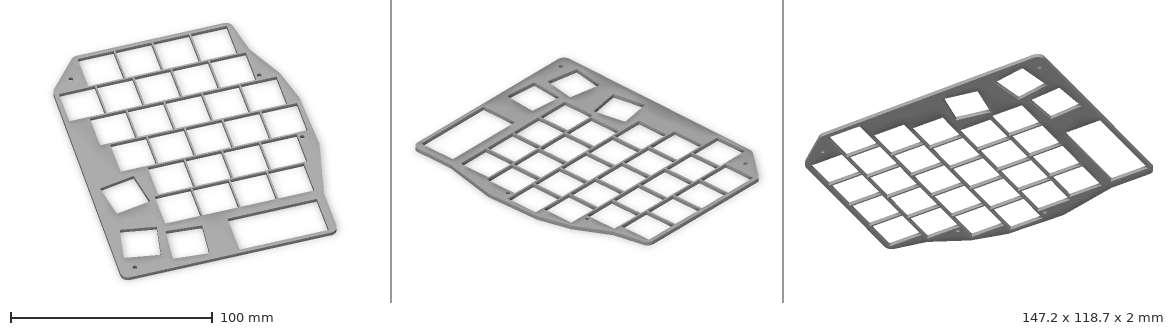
import cadquery as cq

plate_length = 147.2
plate_width = 118.8
plate_thickness = 2.0
corner_radius = 4.0

key_size = 18.5
web_width = 0.95
key_pitch = key_size + web_width
first_column_x = 11.5
key_columns = [(4, 28.8), (5, 13.4), (5, 23.5), (5, 28.4), (4, 42.0), (4, 39.9)]

thumb_keys = [(94.5, 16.9, 10), (126.6, 15.3, -10), (133.0, 37.8, -5)]

window_length = 21.2
window_width = 46.0
window_center = (134.5, 84.2)

hole_diameter = 2.2
hole_centers = [(13.8, 12.7), (141.6, 8.1), (37.8, 102.9), (82.7, 111.9)]

right_top = 111.7
rounded_corners = [
    (0, 98.9),
    (0, 17.8),
    (19.0, 1.8),
    (plate_length, 0),
    (plate_length, right_top),
]
right_slope_end = (121.4, right_top)
top_peak = (89.5, plate_width)
top_left_peak = (57.8, 117.9)
shoulder = (39.3, 113.0)
left_slope_start = (20.2, 103.0)
outline = rounded_corners + [right_slope_end, top_peak, top_left_peak, shoulder, left_slope_start]


def make_plate():
    """Flat plate with its outer corners rounded."""
    plate = cq.Workplane("XY").polyline(outline).close().extrude(plate_thickness)
    for x, y in rounded_corners:
        corner = cq.selectors.NearestToPointSelector((x, y, plate_thickness / 2))
        plate = plate.edges("|Z").edges(corner).fillet(corner_radius)
    return plate


def through_cutter(length, width, center, angle=0):
    """Rectangular block that cuts one opening through the plate."""
    block = cq.Workplane("XY").rect(length, width).extrude(plate_thickness)
    return block.rotate((0, 0, 0), (0, 0, 1), angle).translate((*center, 0))


result = make_plate()

for column, (key_count, lowest_y) in enumerate(key_columns):
    column_x = first_column_x + column * key_pitch
    for row in range(key_count):
        key_center = (column_x, lowest_y + row * key_pitch)
        result = result.cut(through_cutter(key_size, key_size, key_center))

for thumb_x, thumb_y, thumb_angle in thumb_keys:
    result = result.cut(through_cutter(key_size, key_size, (thumb_x, thumb_y), thumb_angle))

result = result.cut(through_cutter(window_length, window_width, window_center))

holes = cq.Workplane("XY").pushPoints(hole_centers).circle(hole_diameter / 2).extrude(plate_thickness)
result = result.cut(holes)